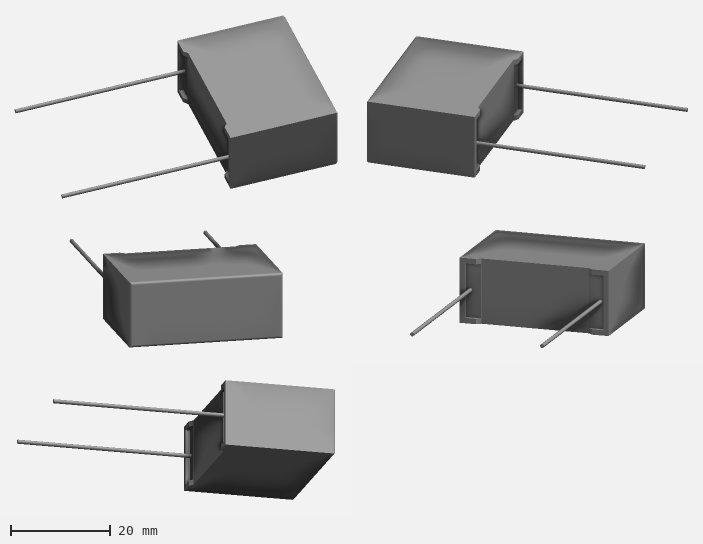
import cadquery as cq

case_width = 31.5
case_height = 13.5
case_depth = 22.85
wall = 1.1
back_fillet = 0.5

foot_width = 3.5
foot_rise = 0.75
foot_slope_run = 0.9
window_width = 3.2
window_depth = 0.85

overall_length = 58.0
lead_pitch = 27.5
lead_diameter = 0.8
lead_tip_y = case_depth - overall_length

half_width = case_width / 2
cavity_width = case_width - 2 * wall
cavity_height = case_height - 2 * wall
cavity_front_y = foot_rise + wall
cavity_depth = case_depth - wall - cavity_front_y
window_x = half_width - wall - window_width / 2


def box_from_front(width, depth, height, x, front_y):
    """Box centred on the given x and on Z = 0, running from front_y toward +Y."""
    return cq.Workplane("XY").box(width, depth, height, centered=(True, False, True)).translate((x, front_y, 0))


def make_filling():
    """Block that fills the cavity, with a pad reaching forward into each window."""
    filling = box_from_front(cavity_width, cavity_depth, cavity_height, 0, cavity_front_y)
    pad_depth = cavity_front_y - window_depth
    for side in (-1, 1):
        pad = box_from_front(window_width, pad_depth, cavity_height, side * window_x, window_depth)
        filling = filling.union(pad)
    return filling.clean()


def make_case():
    """Hollow housing on two feet, rounded around its back face."""
    foot_inner_x = half_width - foot_width
    recess_x = foot_inner_x - foot_slope_run
    case = (
        cq.Workplane("XY")
        .workplane(offset=-case_height / 2)
        .moveTo(-half_width, case_depth)
        .lineTo(-half_width, 0)
        .lineTo(-foot_inner_x, 0)
        .lineTo(-recess_x, foot_rise)
        .lineTo(recess_x, foot_rise)
        .lineTo(foot_inner_x, 0)
        .lineTo(half_width, 0)
        .lineTo(half_width, case_depth)
        .close()
        .extrude(case_height)
        .faces(">Y")
        .edges()
        .fillet(back_fillet)
    )
    case = case.cut(make_filling())
    for side in (-1, 1):
        case = case.cut(box_from_front(window_width, window_depth, cavity_height, side * window_x, 0))
    return case


def make_lead(x):
    """Round wire standing on the filling and running out through a window toward -Y."""
    return (
        cq.Workplane("XZ", origin=(x, window_depth, 0))
        .circle(lead_diameter / 2)
        .extrude(window_depth - lead_tip_y)
    )


case = make_case()
filling = make_filling()
leads = [make_lead(side * lead_pitch / 2) for side in (-1, 1)]

result = cq.Compound.makeCompound([case.val(), filling.val(), *[lead.val() for lead in leads]])